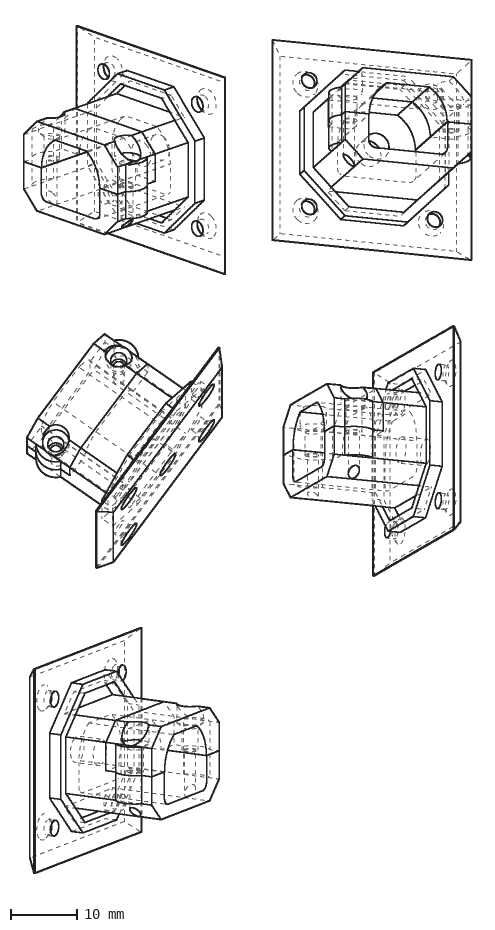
import cadquery as cq
import math


plate_size = 31.6
plate_thickness = 2.0
plate_bevel = 1.8
plate_hole_diameter = 2.4
plate_head_diameter = 4.0
countersink_angle = 90.0
plate_hole_offset = 10.0

flange_width = 23.0
flange_flat = 10.0
flange_thickness = 2.0
flange_rim = 1.5

block_length = 17.0
block_height = 14.4
front_y = -block_length

block_width = flange_width - 2 * flange_rim
block_flat = flange_flat - 2 * flange_rim * math.tan(math.pi / 8)

cavity_width = 12.5
cavity_half_height = 5.2
cavity_depth = block_length - flange_thickness
cavity_floor_fillet = 1.2
cavity_roof_radius = 6.2
cable_hole_diameter = 4.0

cap_length = 8.0

screw_x = 8.1
screw_setback = 4.0
screw_y = front_y + screw_setback
boss_radius = 3.0
pilot_diameter = 1.65
clearance_diameter = 2.4
head_diameter = 4.0
head_seat_z = block_flat / 2
half_cone_angle = math.radians(countersink_angle / 2)
head_cone_height = (head_diameter - clearance_diameter) / 2 / math.tan(half_cone_angle)


def octagon(width, flat):
    """Octagon outline at Y = 0, symmetric about X and Z, that extrudes toward -Y."""
    half = width / 2
    corner = flat / 2
    points = [
        (half, -corner),
        (half, corner),
        (corner, half),
        (-corner, half),
        (-half, corner),
        (-half, -corner),
        (-corner, -half),
        (corner, -half),
    ]
    return cq.Workplane("XZ").polyline(points).close()


def vertical_cylinder(x, radius, bottom, top):
    """Solid cylinder along Z on a screw axis."""
    return (
        cq.Workplane("XY", origin=(x, screw_y, bottom))
        .circle(radius)
        .extrude(top - bottom)
    )


def make_plate():
    """Square plate with bevelled rear edges and four corner holes countersunk from the rear."""
    return (
        cq.Workplane("XZ")
        .rect(plate_size, plate_size)
        .extrude(-plate_thickness)
        .faces(">Y")
        .chamfer(plate_bevel)
        .faces(">Y")
        .workplane(origin=(0, plate_thickness, 0))
        .rect(2 * plate_hole_offset, 2 * plate_hole_offset, forConstruction=True)
        .vertices()
        .cskHole(plate_hole_diameter, plate_head_diameter, countersink_angle)
    )


def make_flange():
    """Octagonal ring whose opening has the outline of the unclipped block."""
    outside = octagon(flange_width, flange_flat).extrude(flange_thickness)
    opening = octagon(block_width, block_flat).extrude(flange_thickness)
    return outside.cut(opening)


def make_cavity():
    """Cavity with a round-sided roof, a flat floor with filleted edges, open at the front."""
    half_width = cavity_width / 2
    roof_half_flat = math.sqrt(cavity_roof_radius**2 - cavity_half_height**2)
    middle_angle = math.asin(cavity_half_height / cavity_roof_radius) / 2
    middle_x = cavity_roof_radius * math.cos(middle_angle)
    middle_z = cavity_roof_radius * math.sin(middle_angle)
    return (
        cq.Workplane("XZ", origin=(0, front_y + cavity_depth, 0))
        .moveTo(-half_width, -cavity_half_height)
        .lineTo(half_width, -cavity_half_height)
        .lineTo(half_width, 0)
        .lineTo(cavity_roof_radius, 0)
        .threePointArc((middle_x, middle_z), (roof_half_flat, cavity_half_height))
        .lineTo(-roof_half_flat, cavity_half_height)
        .threePointArc((-middle_x, middle_z), (-cavity_roof_radius, 0))
        .lineTo(-half_width, 0)
        .close()
        .extrude(cavity_depth)
        .edges("|Y and <Z")
        .fillet(cavity_floor_fillet)
    )


def make_block():
    """Undivided block: a clipped octagon with two screw bosses and the cavity."""
    clip = cq.Workplane("XZ").rect(plate_size, block_height).extrude(block_length)
    block = octagon(block_width, block_flat).extrude(block_length).intersect(clip)
    for side in (-1, 1):
        boss = vertical_cylinder(side * screw_x, boss_radius, -block_flat / 2, block_flat / 2)
        block = block.union(boss)
    return block.cut(make_cavity())


def make_cap_space():
    """Region of the block that belongs to the cap: its front part above Z = 0."""
    return cq.Workplane("XY").box(
        plate_size, cap_length, block_height, centered=(True, False, False)
    ).translate((0, front_y, 0))


def make_screw_cut(x):
    """Clearance hole, conical seat and head bore through the cap on one screw axis."""
    half_height = block_height / 2
    clearance = vertical_cylinder(x, clearance_diameter / 2, 0, half_height)
    head_bore = vertical_cylinder(x, head_diameter / 2, head_seat_z, half_height)
    cone = cq.Workplane(
        cq.Solid.makeCone(
            clearance_diameter / 2,
            head_diameter / 2,
            head_cone_height,
            pnt=cq.Vector(x, screw_y, head_seat_z - head_cone_height),
        )
    )
    return clearance.union(head_bore).union(cone)


def make_cap():
    """Cap: the front upper part of the block, with its two countersunk screw holes."""
    cap = make_block().intersect(make_cap_space())
    for side in (-1, 1):
        cap = cap.cut(make_screw_cut(side * screw_x))
    return cap


def make_housing():
    """Plate, flange and block without the cap, with the pilot holes and the cable hole."""
    lower_block = make_block().cut(make_cap_space())
    housing = make_plate().union(make_flange()).union(lower_block)
    for side in (-1, 1):
        pilot = vertical_cylinder(side * screw_x, pilot_diameter / 2, -block_height / 2, 0)
        housing = housing.cut(pilot)
    cable_hole = (
        cq.Workplane("XZ", origin=(0, plate_thickness, 0))
        .circle(cable_hole_diameter / 2)
        .extrude(plate_thickness + flange_thickness)
    )
    return housing.cut(cable_hole)


housing = make_housing()
cap = make_cap()

result = cq.Compound.makeCompound([housing.val(), cap.val()])